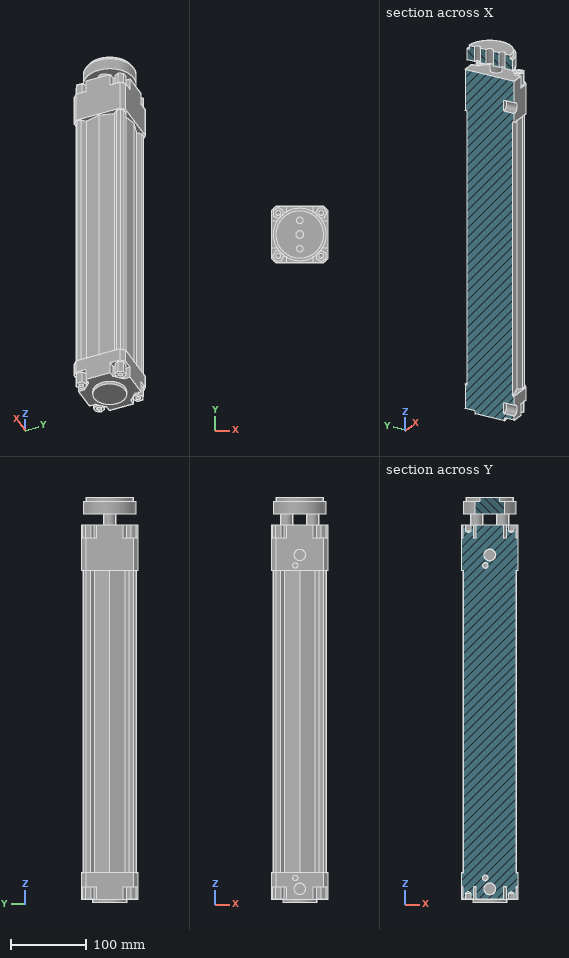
import cadquery as cq
import math

boss_height = 4.5
total_height = 537.0
cap_top = 40.0
head_bottom = 440.0
head_top = 500.5
plate_bottom = 515.0
plate_rim_top = 531.5

block_width = 75.0
block_chamfer = 6.0
boss_diameter = 45.0

tube_width = 70.5
tube_chamfer = 4.0
groove_half_width = 26.0
groove_depth = 5.5

nut_offset = 28.5
nut_across_flats = 13.0
nut_hole_diameter = 6.5
nut_hole_depth = 8.0
nut_hole_tip = 2.0
notch_inner = 17.5
notch_corner_cut = 11.5
cap_notch_depth = 16.5
head_notch_depth = 17.0

port_diameter = 15.0
port_depth = 16.0
screw_diameter = 7.0
screw_depth = 11.0
screw_x = -6.0
head_port_z = 461.0
head_screw_z = 447.0
cap_port_z = 18.0
cap_screw_z = 33.0

rod_diameter = 16.0
rod_offset = 17.0
plate_diameter = 70.0
plate_face_diameter = 63.0
center_hole_diameter = 10.0
side_hole_diameter = 8.5
side_hole_offset = 19.0


def cylinder(x, y, z_low, z_high, diameter):
    return cq.Workplane("XY", origin=(x, y, z_low)).circle(diameter / 2).extrude(z_high - z_low)


def end_block(z_low, z_high):
    block = cq.Workplane("XY", origin=(0, 0, z_low)).rect(block_width, block_width).extrude(z_high - z_low)
    return block.edges("|Z").chamfer(block_chamfer)


def corner_notch(z_low, z_high):
    """Cutter for the notch in the -X, -Y corner, with a slanted inner wall."""
    inner = -notch_inner
    slant = inner - notch_corner_cut
    outer = -block_width / 2
    outline = [(outer, outer), (inner, outer), (inner, slant), (slant, inner), (outer, inner)]
    return cq.Workplane("XY", origin=(0, 0, z_low)).polyline(outline).close().extrude(z_high - z_low)


def corner_nut(z_low, z_high):
    """Hexagonal nut in the -X, -Y corner, with two flats facing along Y."""
    across_corners = nut_across_flats / math.cos(math.radians(30))
    nut = cq.Workplane("XY", origin=(-nut_offset, -nut_offset, z_low))
    return nut.polygon(6, across_corners).extrude(z_high - z_low)


def corner_nut_hole(z_open, inward):
    """Cutter for the hole in that nut; it runs from z_open along inward (1 up, -1 down) to a conical tip."""
    radius = nut_hole_diameter / 2
    z_side = z_open + inward * nut_hole_depth
    z_tip = z_side + inward * nut_hole_tip
    half_profile = [(0, z_open), (radius, z_open), (radius, z_side), (0, z_tip)]
    hole = cq.Workplane("XZ").polyline(half_profile).close().revolve(360, (0, 0, 0), (0, 1, 0))
    return hole.translate((-nut_offset, -nut_offset, 0))


def add_corner_nuts(block, z_low, z_high, hole):
    """Notch all four corners and leave a drilled nut in each."""
    notch = corner_notch(z_low, z_high)
    nut = corner_nut(z_low, z_high)
    for angle in range(0, 360, 90):
        block = block.cut(notch.rotate((0, 0, 0), (0, 0, 1), angle))
        block = block.union(nut.rotate((0, 0, 0), (0, 0, 1), angle))
        block = block.cut(hole.rotate((0, 0, 0), (0, 0, 1), angle))
    return block


def front_hole(x, z, diameter, depth):
    """Cutter for a blind hole in the -Y face of an end block."""
    return cq.Workplane("XZ", origin=(x, -block_width / 2, z)).circle(diameter / 2).extrude(-depth)


def make_head():
    head = end_block(head_bottom, head_top)
    head = add_corner_nuts(head, head_top - head_notch_depth, head_top, corner_nut_hole(head_top, -1))
    head = head.cut(front_hole(0, head_port_z, port_diameter, port_depth))
    return head.cut(front_hole(screw_x, head_screw_z, screw_diameter, screw_depth))


def make_cap():
    cap = end_block(boss_height, cap_top)
    notch_top = boss_height + cap_notch_depth
    cap = add_corner_nuts(cap, boss_height, notch_top, corner_nut_hole(boss_height, 1))
    cap = cap.union(cylinder(0, 0, 0, boss_height, boss_diameter))
    cap = cap.cut(front_hole(0, cap_port_z, port_diameter, port_depth))
    return cap.cut(front_hole(screw_x, cap_screw_z, screw_diameter, screw_depth))


def make_tube():
    """Chamfered square tube; each side has two V grooves that meet at a central ridge."""
    length = head_bottom - cap_top
    tube = cq.Workplane("XY", origin=(0, 0, cap_top)).rect(tube_width, tube_width).extrude(length)
    tube = tube.edges("|Z").chamfer(tube_chamfer)
    face = -tube_width / 2
    groove_bottom = (groove_half_width - groove_depth, face + groove_depth)
    outline = [(0, face), groove_bottom, (groove_half_width, face)]
    right_groove = cq.Workplane("XY", origin=(0, 0, cap_top)).polyline(outline).close().extrude(length)
    left_groove = right_groove.mirror("YZ")
    for angle in range(0, 360, 90):
        for groove in (left_groove, right_groove):
            tube = tube.cut(groove.rotate((0, 0, 0), (0, 0, 1), angle))
    return tube


def make_housing():
    return make_tube().union(make_head()).union(make_cap())


def make_piston():
    piston = cylinder(0, 0, plate_bottom, plate_rim_top, plate_diameter)
    piston = piston.union(cylinder(0, 0, plate_rim_top, total_height, plate_face_diameter))
    piston = piston.cut(cylinder(0, 0, plate_bottom, total_height, center_hole_diameter))
    for side in (-1, 1):
        side_hole = cylinder(0, side * side_hole_offset, plate_bottom, total_height, side_hole_diameter)
        piston = piston.cut(side_hole)
        piston = piston.union(cylinder(side * rod_offset, 0, head_top, plate_bottom, rod_diameter))
    return piston


housing = make_housing()
piston = make_piston()
result = cq.Compound.makeCompound([housing.val(), piston.val()])